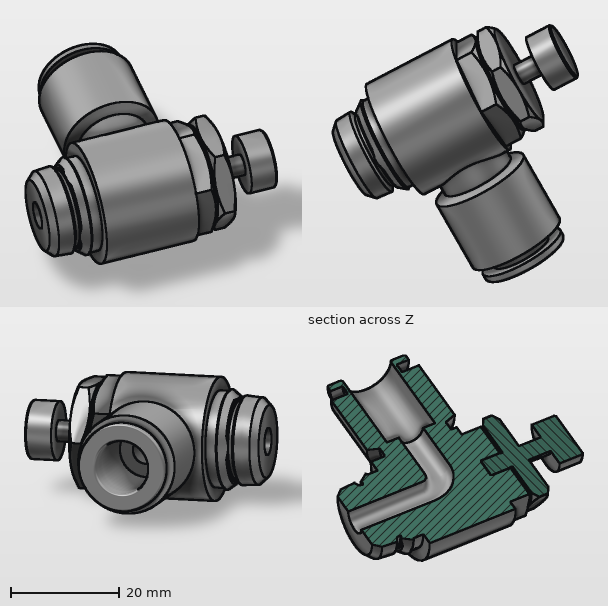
import cadquery as cq
import math


BARREL_DIAMETER = 23.0
BARREL_TOP_Y = 8.1
BARREL_LENGTH = 18.0
BARREL_BOTTOM_Y = BARREL_TOP_Y - BARREL_LENGTH

HEX_FLATS = 19.0
HEX_CORNERS = HEX_FLATS / math.cos(math.radians(30))
HEX_CHAMFER_ANGLE = 30
HEX_CHAMFER_DROP = (HEX_CORNERS - HEX_FLATS) / 2 * math.tan(math.radians(HEX_CHAMFER_ANGLE))
HOUSING_HEX_HEIGHT = 4.0
HOUSING_HEX_TURN = 30
HEX_TOP_Y = BARREL_TOP_Y + HOUSING_HEX_HEIGHT

NUT_GAP = 0.4
NUT_THICKNESS = 3.5
NUT_TURN = 0
NUT_BOTTOM_Y = HEX_TOP_Y + NUT_GAP
SPINDLE_RADIUS = 2.0
KNOB_RADIUS = 5.5
KNOB_HEIGHT = 5.05
KNOB_CHAMFER = 0.25
KNOB_GAP = 4.5
KNOB_BOTTOM_Y = NUT_BOTTOM_Y + NUT_THICKNESS + KNOB_GAP
KNOB_TOP_Y = KNOB_BOTTOM_Y + KNOB_HEIGHT

OVERALL_LENGTH = 45.0
END_Y = KNOB_TOP_Y - OVERALL_LENGTH
STEM_RADIUS = 9.0
STEM_LENGTH = 2.0
RING_RADIUS = 9.3
RING_RIM_DROP = 0.25
RING_CONE_HEIGHT = 1.8
RING_TOP_Y = BARREL_BOTTOM_Y - STEM_LENGTH
RING_RIM_Y = RING_TOP_Y - RING_RIM_DROP
RING_TIP_RADIUS = 7.9
TAB_HEIGHT = 0.35
TAB_BASE_WIDTH = 4.5
TAB_TIP_WIDTH = 1.25
LIP_HOLLOW_DEPTH = 0.2
RING_TIP_Y = RING_RIM_Y - RING_CONE_HEIGHT
RING_BASE_Y = RING_TIP_Y + TAB_HEIGHT
SHOULDER_RADIUS = 7.65
SHOULDER_Y = RING_TIP_Y + LIP_HOLLOW_DEPTH
NECK_RADIUS = 7.3
NECK_FLARE_HEIGHT = 0.55
THREAD_LENGTH = 4.4
THREAD_RADIUS = 8.32
THREAD_LEAD_IN_RADIUS = 8.1
THREAD_CHAMFER = 1.4
THREAD_TOP_Y = END_Y + THREAD_LENGTH
NECK_BOTTOM_Y = THREAD_TOP_Y + NECK_FLARE_HEIGHT
END_RADIUS = 6.75

OVERALL_WIDTH = 43.3
TUBE_END_X = BARREL_DIAMETER / 2 - OVERALL_WIDTH
FLANGE_RADIUS = 8.25
FLANGE_THICKNESS = 1.55
FLANGE_ROUND = 0.5
COLLET_RADIUS = 5.7
COLLET_LENGTH = 3.5
SLEEVE_RADIUS = 9.22
SLEEVE_START_X = TUBE_END_X + COLLET_LENGTH
SLEEVE_LENGTH = 14.0
SLEEVE_END_X = SLEEVE_START_X + SLEEVE_LENGTH
SLEEVE_TAPER_LENGTH = 0.8
BRANCH_RADIUS = 6.98

TUBE_BORE_RADIUS = 5.0
PASSAGE_RADIUS = 2.5
PASSAGE_BEND_RADIUS = 4.0


def cylinder_y(radius, start_y, end_y):
    """Cylinder on the Y axis between two heights."""
    plane = cq.Workplane("XZ", origin=(0, start_y, 0))
    return plane.circle(radius).extrude(start_y - end_y)


def cylinder_x(radius, start_x, end_x):
    """Cylinder on the X axis between two places."""
    plane = cq.Workplane("YZ", origin=(start_x, 0, 0))
    return plane.circle(radius).extrude(end_x - start_x)


def revolve_about_y(points):
    """Solid of revolution from (radius, y) points."""
    return cq.Workplane("XY").polyline(points).close().revolve(360, (0, 0, 0), (0, 1, 0))


def chamfered_hex(bottom_y, height, turn, chamfer_bottom):
    """Hexagon prism on the Y axis, its corners trimmed by a cone at one or both ends."""
    top_y = bottom_y + height
    prism = (
        cq.Workplane("XZ", origin=(0, bottom_y, 0))
        .polygon(6, HEX_CORNERS)
        .extrude(-height)
        .rotate((0, 0, 0), (0, 1, 0), turn)
    )
    face_radius = HEX_FLATS / 2
    corner_radius = HEX_CORNERS / 2
    outline = [(0, top_y), (face_radius, top_y), (corner_radius, top_y - HEX_CHAMFER_DROP)]
    if chamfer_bottom:
        outline += [(corner_radius, bottom_y + HEX_CHAMFER_DROP), (face_radius, bottom_y)]
    else:
        outline += [(corner_radius, bottom_y)]
    outline += [(0, bottom_y)]
    return prism.intersect(revolve_about_y(outline))


def make_threaded_end():
    """Stem, sealing ring, neck and plain tapered thread below the barrel."""
    end = revolve_about_y([
        (0, BARREL_BOTTOM_Y),
        (STEM_RADIUS, BARREL_BOTTOM_Y),
        (STEM_RADIUS, RING_TOP_Y),
        (RING_RADIUS, RING_RIM_Y),
        (RING_TIP_RADIUS, RING_TIP_Y),
        (SHOULDER_RADIUS, SHOULDER_Y),
        (NECK_RADIUS, SHOULDER_Y),
        (NECK_RADIUS, NECK_BOTTOM_Y),
        (THREAD_RADIUS, THREAD_TOP_Y),
        (THREAD_LEAD_IN_RADIUS, END_Y + THREAD_CHAMFER),
        (END_RADIUS, END_Y),
        (0, END_Y),
    ])
    return end.cut(make_ring_notches())


def make_ring_notches():
    """Cutter that trims the ring's lip between four tapered tabs a quarter turn apart."""
    trim = cylinder_y(RING_RADIUS, RING_TIP_Y, RING_BASE_Y)
    shoulder = cylinder_y(SHOULDER_RADIUS, RING_TIP_Y, RING_BASE_Y)
    tab_outline = [
        (-TAB_BASE_WIDTH / 2, RING_BASE_Y),
        (-TAB_TIP_WIDTH / 2, RING_TIP_Y),
        (TAB_TIP_WIDTH / 2, RING_TIP_Y),
        (TAB_BASE_WIDTH / 2, RING_BASE_Y),
    ]
    tabs_on_z = cq.Workplane("XY").polyline(tab_outline).close().extrude(RING_RADIUS, both=True)
    tabs_on_x = tabs_on_z.rotate((0, 0, 0), (0, 1, 0), 90)
    return trim.cut(shoulder).cut(tabs_on_z).cut(tabs_on_x)


def make_connector():
    """Release collet, sleeve and branch along the X axis, running into the barrel."""
    flange = (
        cylinder_x(FLANGE_RADIUS, TUBE_END_X, TUBE_END_X + FLANGE_THICKNESS)
        .faces("<X").edges().fillet(FLANGE_ROUND)
    )
    collet = cylinder_x(COLLET_RADIUS, TUBE_END_X + FLANGE_THICKNESS, SLEEVE_START_X)
    sleeve = cylinder_x(SLEEVE_RADIUS, SLEEVE_START_X, SLEEVE_END_X)
    taper = (
        cq.Workplane("YZ", origin=(SLEEVE_END_X, 0, 0))
        .circle(SLEEVE_RADIUS)
        .workplane(offset=SLEEVE_TAPER_LENGTH)
        .circle(BRANCH_RADIUS)
        .loft()
    )
    branch = cylinder_x(BRANCH_RADIUS, SLEEVE_END_X, 0)
    return flange.union(collet).union(sleeve).union(taper).union(branch)


def make_tube_bore():
    """Blind tube socket with a rounded mouth."""
    mouth_radius = TUBE_BORE_RADIUS + FLANGE_ROUND
    return (
        cq.Workplane("XY")
        .moveTo(TUBE_END_X, 0)
        .lineTo(TUBE_END_X, mouth_radius)
        .radiusArc((TUBE_END_X + FLANGE_ROUND, TUBE_BORE_RADIUS), -FLANGE_ROUND)
        .lineTo(SLEEVE_END_X, TUBE_BORE_RADIUS)
        .lineTo(SLEEVE_END_X, 0)
        .close()
        .revolve(360, (0, 0, 0), (1, 0, 0))
    )


def make_passage():
    """Passage from the tube socket to the threaded end, with one round quarter bend."""
    path = (
        cq.Workplane("XY")
        .moveTo(SLEEVE_END_X, 0)
        .lineTo(-PASSAGE_BEND_RADIUS, 0)
        .radiusArc((0, -PASSAGE_BEND_RADIUS), PASSAGE_BEND_RADIUS)
        .lineTo(0, END_Y)
    )
    start = cq.Workplane("YZ", origin=(SLEEVE_END_X, 0, 0))
    return start.circle(PASSAGE_RADIUS).sweep(path)


def make_housing():
    """Barrel with its hexagon, threaded end, connector and bores."""
    barrel = cylinder_y(BARREL_DIAMETER / 2, BARREL_BOTTOM_Y, BARREL_TOP_Y)
    hexagon = chamfered_hex(BARREL_TOP_Y, HOUSING_HEX_HEIGHT, HOUSING_HEX_TURN, chamfer_bottom=False)
    spindle_hole = cylinder_y(SPINDLE_RADIUS, BARREL_TOP_Y, HEX_TOP_Y)
    return (
        barrel.union(hexagon)
        .union(make_threaded_end())
        .union(make_connector())
        .cut(make_tube_bore())
        .cut(make_passage())
        .cut(spindle_hole)
    )


def make_adjusting_screw():
    """Knob, spindle and lock nut; the spindle fills the hole in the housing hexagon."""
    spindle = cylinder_y(SPINDLE_RADIUS, BARREL_TOP_Y, KNOB_BOTTOM_Y)
    nut = chamfered_hex(NUT_BOTTOM_Y, NUT_THICKNESS, NUT_TURN, chamfer_bottom=True)
    knob = (
        cylinder_y(KNOB_RADIUS, KNOB_BOTTOM_Y, KNOB_TOP_Y)
        .faces(">Y").edges().chamfer(KNOB_CHAMFER)
    )
    return spindle.union(nut).union(knob)


housing = make_housing()
adjusting_screw = make_adjusting_screw()

result = cq.Compound.makeCompound([housing.solids().val(), adjusting_screw.solids().val()])